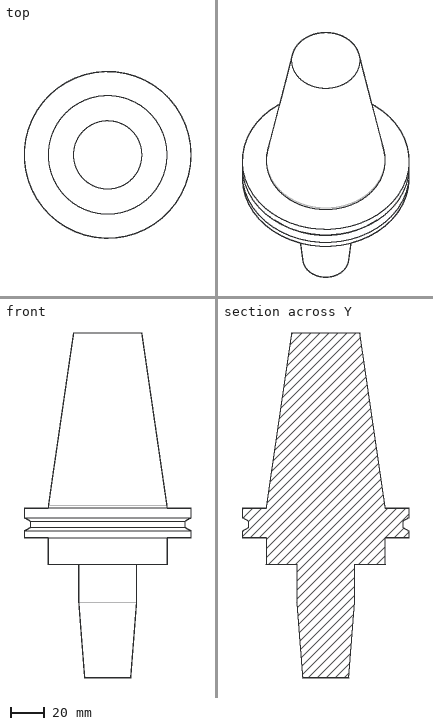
import cadquery as cq

total_height = 203.2
nose_cone_height = 44.3
neck_top = 66.6
flange_bottom = 82.5
flange_top = 100.0
taper_start = 101.5

tip_diameter = 27.2
neck_diameter = 34.1
collar_diameter = 70.3
flange_diameter = 98.3
groove_diameter = 91.2
taper_large_diameter = 70.0
taper_ratio = 7 / 24
taper_small_diameter = taper_large_diameter - taper_ratio * (total_height - taper_start)

groove_center = 90.5
groove_floor_width = 3.7
groove_mouth_width = 7.7


def revolved_body():
    """Solid of revolution about Z: nose, neck, collar, flange and taper."""
    stations = [
        (tip_diameter, 0),
        (neck_diameter, nose_cone_height),
        (neck_diameter, neck_top),
        (collar_diameter, neck_top),
        (collar_diameter, flange_bottom),
        (flange_diameter, flange_bottom),
        (flange_diameter, flange_top),
        (taper_large_diameter, flange_top),
        (taper_large_diameter, taper_start),
        (taper_small_diameter, total_height),
    ]
    outline = [(0, 0)]
    outline += [(diameter / 2, z) for diameter, z in stations]
    outline.append((0, total_height))
    return cq.Workplane("XZ").polyline(outline).close().revolve(360, (0, 0), (0, 1))


def flange_groove():
    """Ring that cuts the groove out of the flange rim."""
    outline = [
        (groove_diameter / 2, groove_center - groove_floor_width / 2),
        (flange_diameter / 2, groove_center - groove_mouth_width / 2),
        (flange_diameter / 2, groove_center + groove_mouth_width / 2),
        (groove_diameter / 2, groove_center + groove_floor_width / 2),
    ]
    return cq.Workplane("XZ").polyline(outline).close().revolve(360, (0, 0), (0, 1))


result = revolved_body().cut(flange_groove())